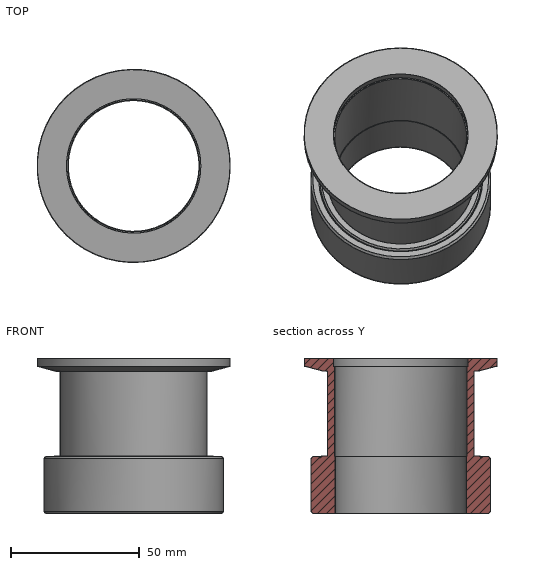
import cadquery as cq
import math

TOTAL_HEIGHT = 60.33
TUBE_BORE_DIAMETER = 51.18
COLLAR_BORE_DIAMETER = 50.8
TUBE_DIAMETER = 57.15

FLANGE_DIAMETER = 75.01
FLANGE_RIM_THICKNESS = 3.1
FLANGE_TAPER_END_DIAMETER = 60.33
FLANGE_TAPER_ANGLE = 15.0
RECESS_DIAMETER = 52.2
RECESS_DEPTH = 3.1

COLLAR_DIAMETER = 69.85
COLLAR_HEIGHT = 22.225
COLLAR_CHAMFER = 0.8
GROOVE_OUTER_DIAMETER = 63.73
RING_TOP_DIAMETER = 61.46
RING_RISE = 0.175


def disc(diameter, height, base_z):
    """Upright cylinder standing on the plane z = base_z."""
    return cq.Workplane("XY").workplane(offset=base_z).circle(diameter / 2).extrude(height)


def revolve_profile(points):
    """Solid of revolution about Z from (radius, z) points."""
    return cq.Workplane("XZ").polyline(points).close().revolve(360, (0, 0), (0, 1))


def make_flange():
    """Flange disc whose back face slopes down towards the tube."""
    rim_radius = FLANGE_DIAMETER / 2
    taper_radius = FLANGE_TAPER_END_DIAMETER / 2
    rim_bottom = TOTAL_HEIGHT - FLANGE_RIM_THICKNESS
    taper_drop = (rim_radius - taper_radius) * math.tan(math.radians(FLANGE_TAPER_ANGLE))
    profile = [
        (0, TOTAL_HEIGHT),
        (rim_radius, TOTAL_HEIGHT),
        (rim_radius, rim_bottom),
        (taper_radius, rim_bottom - taper_drop),
        (0, rim_bottom - taper_drop),
    ]
    return revolve_profile(profile)


def make_collar():
    """Collar chamfered at both ends, with a V groove between its outer face and the raised ring."""
    outer_radius = COLLAR_DIAMETER / 2
    groove_radius = GROOVE_OUTER_DIAMETER / 2
    ring_radius = RING_TOP_DIAMETER / 2
    groove_depth = (groove_radius - ring_radius - RING_RISE) / 2
    profile = [
        (0, 0),
        (outer_radius - COLLAR_CHAMFER, 0),
        (outer_radius, COLLAR_CHAMFER),
        (outer_radius, COLLAR_HEIGHT - COLLAR_CHAMFER),
        (outer_radius - COLLAR_CHAMFER, COLLAR_HEIGHT),
        (groove_radius, COLLAR_HEIGHT),
        (groove_radius - groove_depth, COLLAR_HEIGHT - groove_depth),
        (ring_radius, COLLAR_HEIGHT + RING_RISE),
        (0, COLLAR_HEIGHT + RING_RISE),
    ]
    return revolve_profile(profile)


def make_bore():
    """Through passage: narrow inside the collar, wider up the tube, widest in the flange recess."""
    collar_bore = disc(COLLAR_BORE_DIAMETER, COLLAR_HEIGHT, 0)
    tube_bore = disc(TUBE_BORE_DIAMETER, TOTAL_HEIGHT - COLLAR_HEIGHT, COLLAR_HEIGHT)
    recess = disc(RECESS_DIAMETER, RECESS_DEPTH, TOTAL_HEIGHT - RECESS_DEPTH)
    return collar_bore.union(tube_bore).union(recess)


tube = disc(TUBE_DIAMETER, TOTAL_HEIGHT, 0)
result = tube.union(make_flange()).union(make_collar()).cut(make_bore())